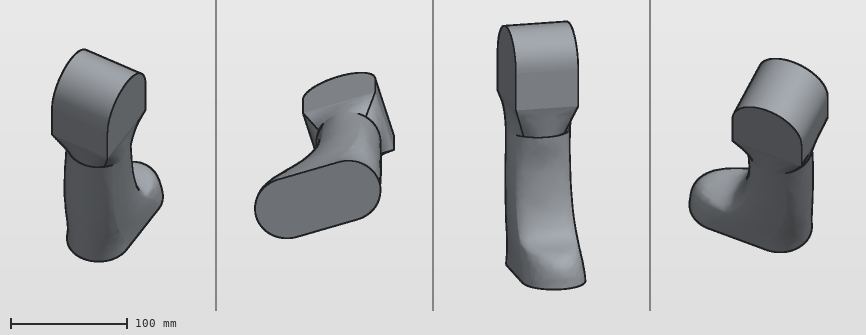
import cadquery as cq
import math

width = 55.0
head_depth = 64.8
height = 212.5
head_base_z = 147.3
neck_z = 120.0
head_radius = head_depth / 2
half_width = width / 2

toe_y = 82.55
heel_y = -half_width
neck_edge_y = 15.7
sole_side_angle = 0.5
neck_side_angle = math.degrees(math.asin(neck_edge_y / half_width))

leg_sections = [
    (0.0, toe_y, toe_y - half_width, 0.0),
    (6.8, 82.0, 54.2, -0.2),
    (13.5, 81.0, 51.0, -1.5),
    (20.0, 78.0, 46.3, -3.8),
    (25.3, 72.0, 41.5, -6.2),
    (27.8, 65.7, 39.3, -7.2),
    (29.8, 56.5, 37.8, -7.9),
    (32.7, 46.8, 35.3, -9.4),
    (39.3, 38.7, 30.5, -11.7),
    (51.0, 32.5, 24.5, -14.5),
    (65.9, 28.3, 19.5, -16.4),
    (82.9, 25.7, 16.8, -17.2),
    (102.0, 25.5, 16.0, -16.8),
    (neck_z, half_width, neck_edge_y, -neck_edge_y),
]


def leg_section(z, front_y, side_front_y, side_rear_y):
    """Closed outline with bowed sides that run smoothly into rounded ends."""
    angle = math.radians(sole_side_angle + (neck_side_angle - sole_side_angle) * z / neck_z)
    bow = (side_front_y - side_rear_y) / 2 * math.tan(angle / 2)
    edge_x = half_width - bow
    middle_y = (side_front_y + side_rear_y) / 2
    lean_x = math.sin(angle)
    lean_y = math.cos(angle)

    def point(x, y):
        return cq.Vector(x, y, z)

    def rounded_end(side, edge_y, end_y):
        shoulder_angle = (angle + math.pi / 2) / 2
        shoulder_x = edge_x * math.cos(shoulder_angle) / lean_y
        rise = (math.sin(shoulder_angle) - lean_x) / (1 - lean_x)
        shoulder_y = edge_y + (end_y - edge_y) * rise
        sweep = math.pi - 2 * angle
        speed = sweep * abs(end_y - edge_y) / (1 - lean_x)
        return cq.Edge.makeSpline(
            [
                point(side * edge_x, edge_y),
                point(side * shoulder_x, shoulder_y),
                point(0, end_y),
                point(-side * shoulder_x, shoulder_y),
                point(-side * edge_x, edge_y),
            ],
            tangents=[
                cq.Vector(-side * lean_x, side * lean_y, 0) * speed,
                cq.Vector(-side * lean_x, -side * lean_y, 0) * speed,
            ],
            parameters=[0, 0.25, 0.5, 0.75, 1],
            scale=False,
        )

    def bowed_side(side, start_y, end_y):
        return cq.Edge.makeThreePointArc(
            point(side * edge_x, start_y),
            point(side * half_width, middle_y),
            point(side * edge_x, end_y),
        )

    return cq.Wire.assembleEdges([
        rounded_end(1, side_front_y, front_y),
        bowed_side(-1, side_front_y, side_rear_y),
        rounded_end(-1, side_rear_y, heel_y),
        bowed_side(1, side_rear_y, side_front_y),
    ])


def make_head():
    arc_center_z = height - head_radius
    return (
        cq.Workplane("YZ")
        .moveTo(-head_radius, head_base_z)
        .lineTo(head_radius, head_base_z)
        .lineTo(head_radius, arc_center_z)
        .threePointArc((0, height), (-head_radius, arc_center_z))
        .close()
        .extrude(half_width, both=True)
    )


def make_neck():
    """Transition from the round top of the leg to the rectangular head."""
    corner_signs = [(1, 1), (-1, 1), (-1, -1), (1, -1)]
    head_corners = [
        cq.Vector(x_sign * half_width, y_sign * head_radius, head_base_z)
        for x_sign, y_sign in corner_signs
    ]
    corner_angle = math.atan2(head_radius, half_width)
    split_x = half_width * math.cos(corner_angle)
    split_y = half_width * math.sin(corner_angle)
    splits = [cq.Vector(x_sign * split_x, y_sign * split_y, neck_z) for x_sign, y_sign in corner_signs]
    arc_middles = [
        cq.Vector(half_width * x_sign, half_width * y_sign, neck_z)
        for x_sign, y_sign in [(0, 1), (-1, 0), (0, -1), (1, 0)]
    ]
    arcs = [
        cq.Edge.makeThreePointArc(start, middle, end)
        for start, middle, end in zip(splits, arc_middles, splits[1:] + splits[:1])
    ]
    bottom = cq.Wire.assembleEdges(arcs)
    top = cq.Wire.makePolygon(head_corners, close=True)
    return cq.Solid.makeLoft([bottom, top], True)


def make_leg():
    sections = [leg_section(*section) for section in leg_sections]
    return cq.occ_impl.shapes.loft(sections, cap=True, parametrization="chordal")


result = make_head().union(make_neck()).union(make_leg())